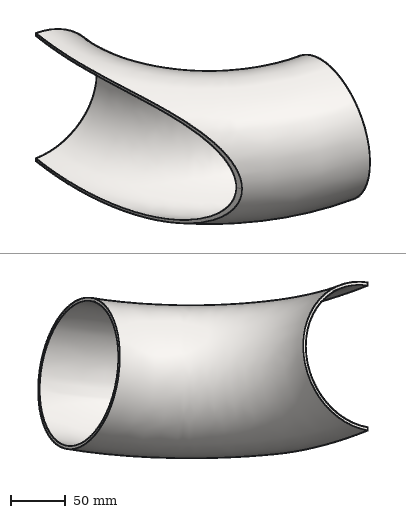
import cadquery as cq

bend_radius = 191.0
pipe_diameter = 139.8
bore_diameter = 133.8

pipe_radius = pipe_diameter / 2
bore_radius = bore_diameter / 2
bend_angle = 90


def bent_tube():
    """Quarter bend around the Z axis, from the X = 0 plane to the Y = 0 plane."""
    return (
        cq.Workplane("XZ")
        .center(bend_radius, 0)
        .circle(pipe_radius)
        .circle(bore_radius)
        .revolve(bend_angle, (-bend_radius, 0), (-bend_radius, -1))
    )


def saddle_cutter():
    """Solid on the -Y side of the parabola y = x^2 / (4 R) - R.

    This is where the bend meets a straight pipe of the same diameter that
    leaves the X = 0 end along X: outer and bore surfaces both meet there.
    """
    x_end = bend_radius + pipe_diameter
    y_end = x_end**2 / (4 * bend_radius) - bend_radius
    y_floor = -2 * bend_radius
    parabola = [(0, -bend_radius), (x_end / 2, -bend_radius), (x_end, y_end)]
    return (
        cq.Workplane("XY")
        .moveTo(*parabola[0])
        .bezier(parabola)
        .lineTo(x_end, y_floor)
        .lineTo(0, y_floor)
        .close()
        .extrude(pipe_diameter, both=True)
    )


result = bent_tube().cut(saddle_cutter())